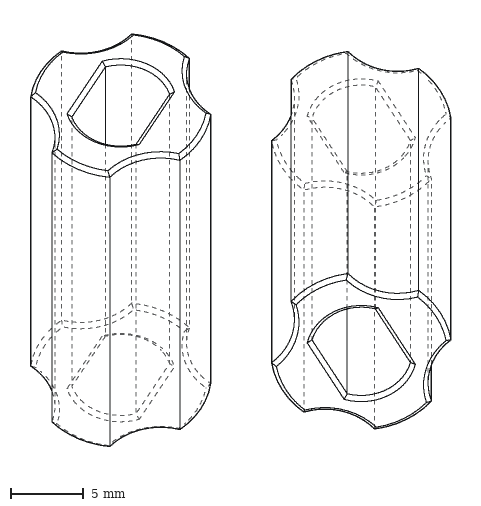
import cadquery as cq
import math

length = 31.25
outer_diameter = 12.47
lobe_width = 4.5
flute_radius = 4.5
bore_diameter = 7.0
bore_flat_width = 5.0
edge_chamfer = 0.3
flute_count = 4

outer_radius = outer_diameter / 2
flute_half_angle = math.pi / flute_count - math.asin(lobe_width / outer_diameter)
half_chord = outer_radius * math.sin(flute_half_angle)
chord_distance = outer_radius * math.cos(flute_half_angle)
flute_center_distance = chord_distance + math.sqrt(flute_radius**2 - half_chord**2)


def fluted_body():
    """Round bar with concave flutes cut along its full length."""
    bar = cq.Workplane("XY").circle(outer_radius).extrude(length)
    flutes = (
        cq.Workplane("XY")
        .polarArray(flute_center_distance, 180 / flute_count, 360, flute_count)
        .circle(flute_radius)
        .extrude(length)
    )
    return bar.cut(flutes)


def flat_sided_bore():
    """Round through bore with two flats parallel to Y."""
    round_bore = cq.Workplane("XY").circle(bore_diameter / 2).extrude(length)
    flats = cq.Workplane("XY").rect(bore_flat_width, bore_diameter).extrude(length)
    return round_bore.intersect(flats)


sleeve = fluted_body().cut(flat_sided_bore())

result = sleeve.faces("<Z or >Z").chamfer(edge_chamfer)